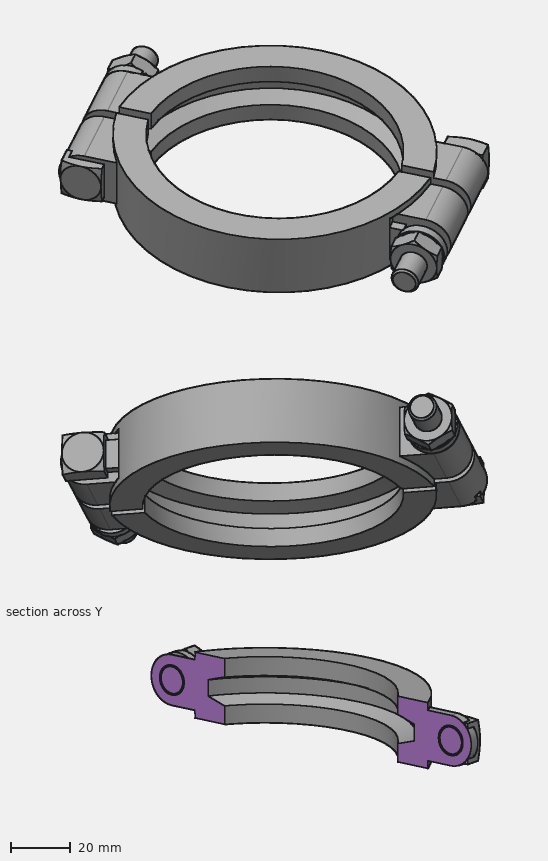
import cadquery as cq
import math

height = 23.11
overall_width = 137.16
overall_depth = 102.03
split_gap = 3.3
split_face_y = split_gap / 2
ring_width = 11.15
centre_offset = 4.8
outer_radius = overall_depth / 2 + centre_offset
bore_radius = outer_radius - ring_width

groove_floor_radius = 50.7
groove_mouth = 10.0
groove_angle = 20.0
groove_depth = groove_floor_radius - bore_radius
groove_floor_width = groove_mouth - 2 * groove_depth * math.tan(math.radians(groove_angle))

lug_diameter = 17.78
lug_radius = lug_diameter / 2
bolt_x = overall_width / 2 - lug_radius
lug_inner_x = 46.0
lug_end_y = 23.55
seat_y = 20.2
tab_end_x = 52.9
tab_height = 10.29
bolt_hole_diameter = 10.29

bolt_diameter = 9.53
bolt_tip_y = 43.3
tip_chamfer = 0.75
head_side = 14.29
head_height = 6.86
head_corner_angle = 20.0
washer_diameter = 17.6
washer_thickness = 3.15
washer_slit_width = 1.1
washer_slit_angle = 55.0
nut_across_flats = 16.27
nut_height = 6.4
nut_corner_angle = 30.0


def cylinder_along_y(x, radius, y_start, y_end):
    """Cylinder parallel to Y, centred on (x, z = 0)."""
    axis_plane = cq.Plane(origin=(x, y_start, 0), xDir=(1, 0, 0), normal=(0, 1, 0))
    return cq.Workplane(axis_plane).circle(radius).extrude(y_end - y_start)


def block(x_start, x_end, y_start, y_end, z_height):
    """Box between the given X and Y limits, centred on z = 0."""
    box = cq.Workplane("XY").box(x_end - x_start, y_end - y_start, z_height)
    return box.translate(((x_start + x_end) / 2, (y_start + y_end) / 2, 0))


def corner_cone(flat_radius, angle, y_face, depth):
    """Round envelope that bevels the corners of a head or nut at its face y_face.

    The envelope has flat_radius at the face and widens along depth (signed, in Y).
    """
    reach = abs(depth) / math.tan(math.radians(angle))
    profile = (
        cq.Workplane("XY")
        .moveTo(0, y_face)
        .lineTo(flat_radius, y_face)
        .lineTo(flat_radius + reach, y_face + depth)
        .lineTo(0, y_face + depth)
        .close()
    )
    return profile.revolve(360, (0, 0, 0), (0, 1, 0))


def grooved_bore():
    """Material removed inside the ring: the bore and its V-groove."""
    half_height = height / 2
    half_mouth = groove_mouth / 2
    half_floor = groove_floor_width / 2
    profile = (
        cq.Workplane("XZ")
        .moveTo(0, -half_height)
        .lineTo(bore_radius, -half_height)
        .lineTo(bore_radius, -half_mouth)
        .lineTo(groove_floor_radius, -half_floor)
        .lineTo(groove_floor_radius, half_floor)
        .lineTo(bore_radius, half_mouth)
        .lineTo(bore_radius, half_height)
        .lineTo(0, half_height)
        .close()
    )
    return profile.revolve(360, (0, 0, 0), (0, 1, 0)).translate((0, -centre_offset, 0))


def lug(y_end):
    """Round-nosed lug on the +X side, from the split face to y_end."""
    nose = cylinder_along_y(bolt_x, lug_radius, split_face_y, y_end)
    return nose.union(block(lug_inner_x, bolt_x, split_face_y, y_end, lug_diameter))


def seat_notches():
    """Steps above and below the tab that carry the bolt seat on into the ring wall."""
    root_x = math.sqrt(outer_radius**2 - (lug_end_y + centre_offset) ** 2)
    step = block(root_x, overall_width / 2, seat_y, lug_end_y, lug_diameter)
    return step.cut(block(root_x, overall_width / 2, seat_y, lug_end_y, tab_height))


def clamp_half():
    """Clamp half on the +Y side."""
    disc = cq.Workplane("XY").circle(outer_radius).extrude(height / 2, both=True)
    disc = disc.translate((0, -centre_offset, 0))
    body = disc.intersect(block(-outer_radius, outer_radius, split_face_y, outer_radius, height))

    long_lug = lug(lug_end_y).mirror("YZ")
    short_lug = lug(seat_y)
    tab = block(lug_inner_x, tab_end_x, seat_y, lug_end_y, tab_height)
    body = body.union(long_lug).union(short_lug).union(tab)
    body = body.cut(seat_notches()).cut(grooved_bore())

    for x in (-bolt_x, bolt_x):
        body = body.cut(cylinder_along_y(x, bolt_hole_diameter / 2, split_face_y, lug_end_y))
    return body


def bolt_head():
    """Square head with its end corners bevelled."""
    half_side = head_side / 2
    head_end_y = -seat_y - head_height
    head = block(-half_side, half_side, head_end_y, -seat_y, head_side)
    return head.intersect(corner_cone(half_side, head_corner_angle, head_end_y, head_height))


def split_washer(y_start):
    """Washer with one radial slit."""
    washer = cylinder_along_y(0, washer_diameter / 2, y_start, y_start + washer_thickness)
    slit = block(bolt_diameter / 2, washer_diameter, y_start, y_start + washer_thickness, washer_slit_width)
    return washer.cut(slit.rotate((0, 0, 0), (0, 1, 0), -washer_slit_angle))


def nut(y_start):
    """Hexagon nut, two corners pointing along Z, bevelled at both faces."""
    y_end = y_start + nut_height
    face_plane = cq.Plane(origin=(0, y_start, 0), xDir=(0, 0, 1), normal=(0, 1, 0))
    across_corners = nut_across_flats / math.cos(math.pi / 6)
    body = cq.Workplane(face_plane).polygon(6, across_corners).extrude(nut_height)
    flat_radius = nut_across_flats / 2
    body = body.intersect(corner_cone(flat_radius, nut_corner_angle, y_start, nut_height))
    return body.intersect(corner_cone(flat_radius, nut_corner_angle, y_end, -nut_height))


def bolt_assembly():
    """Bolt with washer and nut on the Y axis, nut toward +Y."""
    shank = cylinder_along_y(0, bolt_diameter / 2, -seat_y, bolt_tip_y).faces(">Y").chamfer(tip_chamfer)
    washer = split_washer(lug_end_y)
    return shank.union(bolt_head()).union(washer).union(nut(lug_end_y + washer_thickness))


back_half = clamp_half()
front_half = back_half.mirror("XZ")
left_bolt = bolt_assembly().translate((-bolt_x, 0, 0))
right_bolt = bolt_assembly().rotate((0, 0, 0), (1, 0, 0), 180).translate((bolt_x, 0, 0))

result = back_half.union(front_half).union(left_bolt).union(right_bolt)